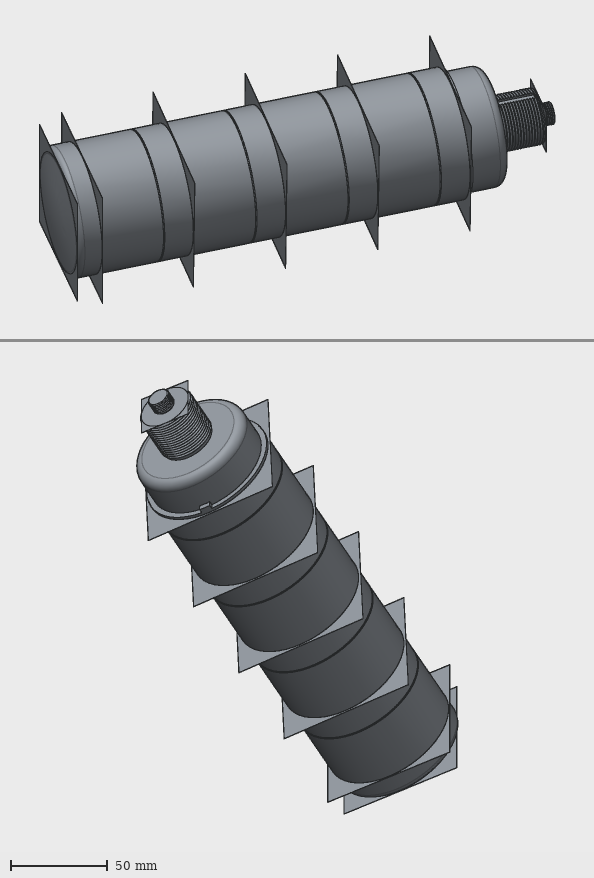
import cadquery as cq
import math


TOTAL_LENGTH = 269.73
PLATE_SPAN = 75.3

BODY_RADIUS = 35.1
DOME_HEIGHT = 2.2
DOME_RADIUS = 31.7
BODY_FRONT_FILLET = 3.4
BODY_END = 216.0
JOINT_PITCH = 50.0
FIRST_JOINT = 64.4
JOINT_COUNT = 4
BAND_LENGTH = 15.8
GROOVE_WIDTH = 0.7
GROOVE_DEPTH = 0.2

CAP_RADIUS = 32.0
CAP_END = 236.8
CAP_FILLET = 5.0
TAB_WIDTH = 6.0
TAB_OVERHANG = 2.3

PLATE_THICKNESS = 0.1
PLATE_TILT = 2.0
FRONT_PLATE_SIDE = 71.5
FRONT_PLATE_POSITION = 15.0
FACE_PLATE_SIDE = 66.3
CONNECTOR_PLATE_SIDE = 27.4

STUD_RADIUS = 15.0
STUD_PITCH = 1.5
STUD_THREAD_DEPTH = 0.9
STUD_NECK_LENGTH = 1.3
STUD_END_CHAMFER = 1.3
STUD_END = 262.4
PLUG_RADIUS = 6.0
PLUG_PITCH = 1.0
PLUG_THREAD_DEPTH = 0.6
KEYWAY_WIDTH = 4.0
KEYWAY_DEPTH = 2.0
KEYWAY_END_GAP = 2.0


def revolve_about_y(profile):
    """Turn a closed outline, drawn as (radius, Y), around the Y axis."""
    return profile.close().revolve(360, (0, 0, 0), (0, 1, 0))


def cylinder(radius, start, end):
    return cq.Workplane("XZ", origin=(0, start, 0)).circle(radius).extrude(start - end)


def square_plate(side, position, tilt=0.0):
    """Thin square plate across the axis, centred on the given Y position."""
    plate = cq.Workplane("XY").box(side, PLATE_THICKNESS, side)
    return plate.rotate((0, 0, 0), (0, 1, 0), tilt).translate((0, position, 0))


def body():
    sphere_radius = (DOME_RADIUS**2 + DOME_HEIGHT**2) / (2 * DOME_HEIGHT)
    mid_radius = DOME_RADIUS / 2
    mid_height = sphere_radius - math.sqrt(sphere_radius**2 - mid_radius**2)
    fillet_end = DOME_HEIGHT + BODY_FRONT_FILLET
    outline = (
        cq.Workplane("XY")
        .threePointArc((mid_radius, mid_height), (DOME_RADIUS, DOME_HEIGHT))
        .radiusArc((BODY_RADIUS, fillet_end), -BODY_FRONT_FILLET)
        .lineTo(BODY_RADIUS, BODY_END)
        .lineTo(0, BODY_END)
    )
    return revolve_about_y(outline)


def ring_groove(position):
    """Ring to remove from the body, centred on the given Y position."""
    start = position - GROOVE_WIDTH / 2
    end = position + GROOVE_WIDTH / 2
    ring = cylinder(BODY_RADIUS + GROOVE_DEPTH, start, end)
    return ring.cut(cylinder(BODY_RADIUS - GROOVE_DEPTH, start, end))


def cap():
    return cylinder(CAP_RADIUS, BODY_END, CAP_END).faces(">Y").edges().fillet(CAP_FILLET)


def locating_tab():
    end = BODY_END + TAB_OVERHANG
    tab = cq.Workplane("XY").box(
        TAB_WIDTH, 2 * TAB_OVERHANG, BODY_RADIUS, centered=(True, False, False)
    )
    tab = tab.translate((0, end - 2 * TAB_OVERHANG, -BODY_RADIUS))
    return tab.intersect(cylinder(BODY_RADIUS, 0, end))


def threaded_rod(radius, depth, pitch, start, end):
    """Rod with as many whole V-shaped thread turns as fit, ending flush at end."""
    root = radius - depth
    turns = math.floor((end - start) / pitch)
    thread_start = end - turns * pitch
    outline = cq.Workplane("XY").moveTo(0, start).lineTo(root, start)
    if thread_start > start:
        outline = outline.lineTo(root, thread_start)
    for turn in range(turns):
        turn_start = thread_start + turn * pitch
        outline = outline.lineTo(radius, turn_start + pitch / 2).lineTo(root, turn_start + pitch)
    return revolve_about_y(outline.lineTo(0, end))


def connector():
    neck_end = CAP_END + STUD_NECK_LENGTH
    neck = cylinder(STUD_RADIUS - STUD_THREAD_DEPTH, CAP_END, neck_end)
    stud = threaded_rod(STUD_RADIUS, STUD_THREAD_DEPTH, STUD_PITCH, neck_end, STUD_END)
    envelope = cylinder(STUD_RADIUS, CAP_END, STUD_END).faces(">Y").chamfer(STUD_END_CHAMFER)
    stud = stud.intersect(envelope)
    keyway_length = STUD_END - KEYWAY_END_GAP - CAP_END
    keyway = cq.Workplane("XY").box(
        KEYWAY_WIDTH, keyway_length, 2 * KEYWAY_DEPTH, centered=(True, False, True)
    )
    keyway = keyway.translate((0, CAP_END, STUD_RADIUS))
    plug = threaded_rod(PLUG_RADIUS, PLUG_THREAD_DEPTH, PLUG_PITCH, STUD_END, TOTAL_LENGTH)
    end_plate = square_plate(CONNECTOR_PLATE_SIDE, STUD_END - PLATE_THICKNESS / 2)
    return neck.union(stud).cut(keyway).union(plug).union(end_plate)


def build():
    joints = [FIRST_JOINT + JOINT_PITCH * number for number in range(JOINT_COUNT)]
    tilt = math.radians(PLATE_TILT)
    joint_plate_side = PLATE_SPAN / (math.cos(tilt) + math.sin(tilt))

    part = body()
    for joint in joints:
        part = part.cut(ring_groove(joint - BAND_LENGTH))
    part = part.union(cap()).union(locating_tab()).union(connector())

    part = part.union(square_plate(FACE_PLATE_SIDE, DOME_HEIGHT))
    part = part.union(square_plate(FRONT_PLATE_SIDE, FRONT_PLATE_POSITION))
    for joint in joints:
        part = part.union(square_plate(joint_plate_side, joint, PLATE_TILT))
    return part


result = build()